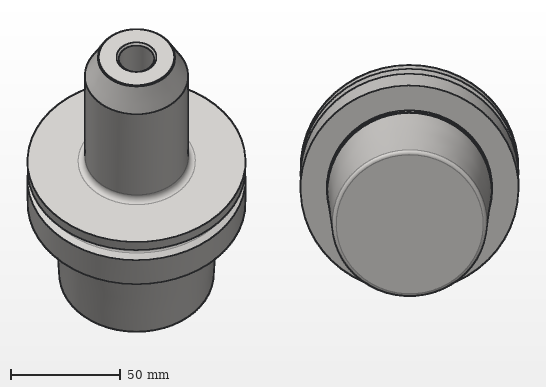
import cadquery as cq
import math

total_height = 149.9
shank_length = 49.9
flange_height = 29.0
flange_top = shank_length + flange_height

shank_large_radius = 37.6
shank_small_radius = 35.4
shank_end_fillet = 1.8
relief_radius = 37.3
relief_height = 2.7
relief_lead_in = 0.6

flange_radius = 49.9
groove_floor_radius = 45.9
groove_centre_height = 69.9
groove_rim_half_width = 3.5
groove_flank_angle = 22.0
groove_fillet = 1.2

nose_radius = 23.7
nose_tip_radius = 17.7
nose_cone_height = 12.7
nose_root_fillet = 3.1
nose_tip_chamfer = 0.5

bore_radius = 8.1
bore_depth = 48.0
bore_chamfer = 1.0


def revolve_profile(profile):
    """Turn a closed (radius, height) outline about the Z axis."""
    return profile.close().revolve(360, (0, 0, 0), (0, 1, 0))


def make_shank():
    taper_top = shank_length - relief_height
    profile = (
        cq.Workplane("XZ")
        .lineTo(shank_small_radius, 0)
        .lineTo(shank_large_radius, taper_top)
        .lineTo(relief_radius, taper_top + relief_lead_in)
        .lineTo(relief_radius, shank_length - relief_lead_in)
        .lineTo(relief_radius + relief_lead_in, shank_length)
        .lineTo(0, shank_length)
    )
    return revolve_profile(profile).faces("<Z").edges().fillet(shank_end_fillet)


def make_flange():
    return cq.Workplane("XY").workplane(offset=shank_length).circle(flange_radius).extrude(flange_height)


def make_gripper_groove():
    """Ring with sloping flanks that run into the floor through a fillet."""
    angle = math.radians(groove_flank_angle)
    arc_centre_radius = groove_floor_radius + groove_fillet
    flank_drop = (flange_radius - arc_centre_radius) * math.tan(angle)
    arc_centre_offset = groove_rim_half_width - flank_drop - groove_fillet / math.cos(angle)

    def arc_point(side, turn):
        """Point on the fillet arc, turned from the floor (0) towards the flank."""
        return (
            arc_centre_radius - groove_fillet * math.cos(turn),
            groove_centre_height + side * (arc_centre_offset + groove_fillet * math.sin(turn)),
        )

    full_turn = math.pi / 2 - angle
    profile = (
        cq.Workplane("XZ")
        .moveTo(flange_radius, groove_centre_height - groove_rim_half_width)
        .lineTo(*arc_point(-1, full_turn))
        .threePointArc(arc_point(-1, full_turn / 2), arc_point(-1, 0))
        .lineTo(*arc_point(1, 0))
        .threePointArc(arc_point(1, full_turn / 2), arc_point(1, full_turn))
        .lineTo(flange_radius, groove_centre_height + groove_rim_half_width)
    )
    return revolve_profile(profile)


def make_nose():
    cone_base = total_height - nose_cone_height
    root_radius = nose_radius + nose_root_fillet
    arc_middle = nose_root_fillet * math.sqrt(0.5)
    profile = (
        cq.Workplane("XZ")
        .moveTo(0, flange_top)
        .lineTo(root_radius, flange_top)
        .threePointArc(
            (root_radius - arc_middle, flange_top + nose_root_fillet - arc_middle),
            (nose_radius, flange_top + nose_root_fillet),
        )
        .lineTo(nose_radius, cone_base)
        .lineTo(nose_tip_radius, total_height - nose_tip_chamfer)
        .lineTo(nose_tip_radius - nose_tip_chamfer, total_height)
        .lineTo(0, total_height)
    )
    return revolve_profile(profile)


def make_bore():
    profile = (
        cq.Workplane("XZ")
        .moveTo(0, total_height - bore_depth)
        .lineTo(bore_radius, total_height - bore_depth)
        .lineTo(bore_radius, total_height - bore_chamfer)
        .lineTo(bore_radius + bore_chamfer, total_height)
        .lineTo(0, total_height)
    )
    return revolve_profile(profile)


flange = make_flange().cut(make_gripper_groove())
result = make_shank().union(flange).union(make_nose()).cut(make_bore())